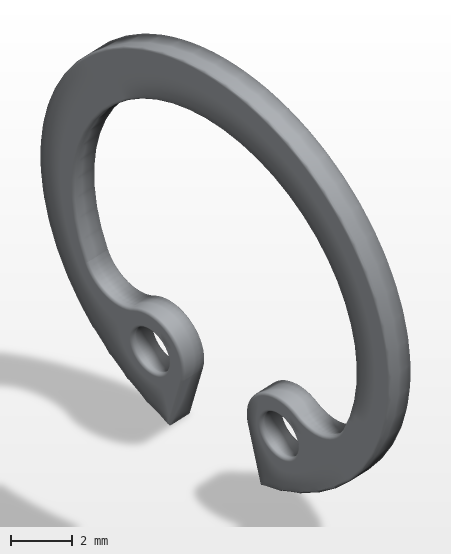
import cadquery as cq
import math

thickness = 1.0
edge_rounding = 0.1

outer_radius = 8.08
inner_radius = 6.51
inner_center = (0.0, -0.4)

lug_radius = 1.53
lug_center = (2.97, -5.15)
hole_diameter = 1.7
throat_radius = 1.5
tip_x = 2.1


def polar(center, radius, angle):
    """Point at an angle (radians) on a circle."""
    return (center[0] + radius * math.cos(angle), center[1] + radius * math.sin(angle))


def direction(start, end):
    """Angle of the line from start to end."""
    return math.atan2(end[1] - start[1], end[0] - start[0])


def mirrored(point):
    return (-point[0], point[1])


bore_to_throat = inner_radius - throat_radius
lug_to_throat = lug_radius + throat_radius
bore_to_lug = math.dist(inner_center, lug_center)
angle_at_bore = math.acos(
    (bore_to_throat**2 + bore_to_lug**2 - lug_to_throat**2) / (2 * bore_to_throat * bore_to_lug)
)
bore_end_angle = direction(inner_center, lug_center) + angle_at_bore
throat_center = polar(inner_center, bore_to_throat, bore_end_angle)
bore_end = polar(inner_center, inner_radius, bore_end_angle)

lug_start_angle = direction(lug_center, throat_center)
lug_start = polar(lug_center, lug_radius, lug_start_angle)
throat_middle = polar(
    throat_center, throat_radius, (bore_end_angle + direction(throat_center, lug_center)) / 2
)

tip = (tip_x, -math.sqrt(outer_radius**2 - tip_x**2))
tangent_turn = math.acos(lug_radius / math.dist(lug_center, tip))
lug_end_angle = direction(lug_center, tip) - tangent_turn + 2 * math.pi
lug_end = polar(lug_center, lug_radius, lug_end_angle)
lug_middle = polar(lug_center, lug_radius, (lug_start_angle + lug_end_angle) / 2)

outer_top = (0.0, outer_radius)
bore_top = polar(inner_center, inner_radius, math.pi / 2)

ring = (
    cq.Workplane("XZ", origin=(0, thickness / 2, 0))
    .moveTo(*tip)
    .threePointArc(outer_top, mirrored(tip))
    .lineTo(*mirrored(lug_end))
    .threePointArc(mirrored(lug_middle), mirrored(lug_start))
    .threePointArc(mirrored(throat_middle), mirrored(bore_end))
    .threePointArc(bore_top, bore_end)
    .threePointArc(throat_middle, lug_start)
    .threePointArc(lug_middle, lug_end)
    .close()
    .extrude(thickness)
)

holes = (
    cq.Workplane("XZ", origin=(0, thickness / 2, 0))
    .pushPoints([lug_center, mirrored(lug_center)])
    .circle(hole_diameter / 2)
    .extrude(thickness)
)

result = ring.cut(holes).faces("<Y or >Y").edges().fillet(edge_rounding)